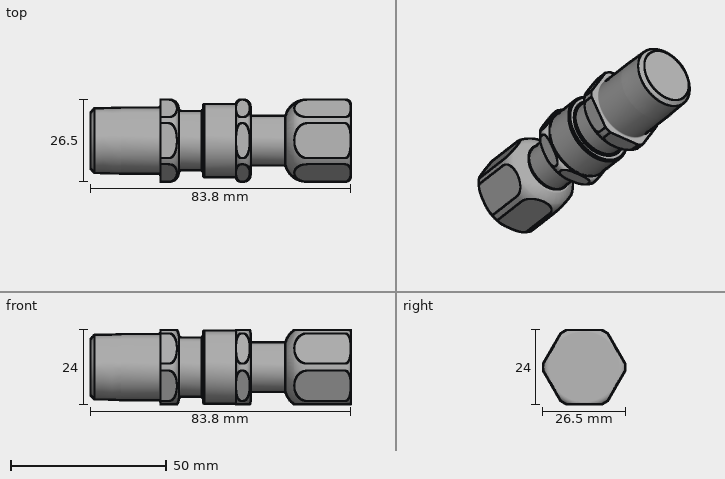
import cadquery as cq
import math

TOTAL_LENGTH = 83.84
HEX_ACROSS_FLATS = 24.0
HEX_CORNER_DIAMETER = 26.5

TIP_FACE_DIAMETER = 17.95
TIP_DIAMETER = 20.85
TIP_CHAMFER_LENGTH = 1.35
THREAD_DIAMETER = 21.34
THREAD_TAPER_END = 9.9
NIPPLE_HEX_START = 22.5
NIPPLE_HEX_END = 28.5
NIPPLE_HEX_ROUND = 3.2
THREAD_ROOT_FILLET = 0.45
NECK_DIAMETER = 19.15
NECK_FILLET = 0.8
NECK_END_DIAMETER = 20.0

SLEEVE_START = 36.2
SLEEVE_DIAMETER = 23.65
SLEEVE_CHAMFER_LENGTH = 0.5
SLEEVE_CHAMFER_DEPTH = 0.4
SLEEVE_HEX_START = 46.78
SLEEVE_HEX_END = 51.6
SLEEVE_HEX_FRONT_ROUND = 1.8
SLEEVE_HEX_REAR_ROUND = 2.5

TUBE_DIAMETER = 16.05

NUT_START = 62.55
NUT_COLLAR_DIAMETER = 16.3
NUT_COLLAR_LENGTH = 0.25
NUT_SHOULDER_DIAMETER = 18.3
NUT_SHOULDER_END = 63.1
NUT_FRONT_ROUND = 7.3
NUT_FRONT_ROUND_END = 69.6
NUT_REAR_ROUND = 1.9

hex_corner_radius = HEX_CORNER_DIAMETER / 2
thread_radius = THREAD_DIAMETER / 2
neck_radius = NECK_DIAMETER / 2
neck_end_radius = NECK_END_DIAMETER / 2
sleeve_radius = SLEEVE_DIAMETER / 2


def profile_from(x):
    """Start an (x, radius) half profile on the axis."""
    return cq.Workplane("XY").moveTo(x, 0)


def turn(profile, end):
    """Bring a half profile back to the axis at x = end and revolve it about X."""
    return profile.lineTo(end, 0).close().revolve(360, (0, 0, 0), (1, 0, 0))


def cut_hexagon(blank, start, end):
    """Trim a turned blank to a hexagon with flats facing +Z and -Z."""
    sharp_corner_diameter = HEX_ACROSS_FLATS / math.cos(math.radians(30))
    bar = cq.Workplane("YZ", origin=(start, 0, 0)).polygon(6, sharp_corner_diameter).extrude(end - start)
    return blank.intersect(bar)


def make_thread():
    fillet_start = NIPPLE_HEX_START - THREAD_ROOT_FILLET
    profile = (
        profile_from(0)
        .lineTo(0, TIP_FACE_DIAMETER / 2)
        .lineTo(TIP_CHAMFER_LENGTH, TIP_DIAMETER / 2)
        .lineTo(THREAD_TAPER_END, thread_radius)
        .lineTo(fillet_start, thread_radius)
        .radiusArc((NIPPLE_HEX_START, thread_radius + THREAD_ROOT_FILLET), -THREAD_ROOT_FILLET)
    )
    return turn(profile, NIPPLE_HEX_START)


def make_nipple_hexagon():
    profile = (
        profile_from(NIPPLE_HEX_START)
        .lineTo(NIPPLE_HEX_START, hex_corner_radius)
        .lineTo(NIPPLE_HEX_END - NIPPLE_HEX_ROUND, hex_corner_radius)
        .radiusArc((NIPPLE_HEX_END, hex_corner_radius - NIPPLE_HEX_ROUND), NIPPLE_HEX_ROUND)
    )
    blank = turn(profile, NIPPLE_HEX_END)
    return cut_hexagon(blank, NIPPLE_HEX_START, NIPPLE_HEX_END)


def make_neck():
    flare_start = SLEEVE_START - (neck_end_radius - neck_radius)
    profile = (
        profile_from(NIPPLE_HEX_END)
        .lineTo(NIPPLE_HEX_END, neck_radius + NECK_FILLET)
        .radiusArc((NIPPLE_HEX_END + NECK_FILLET, neck_radius), -NECK_FILLET)
        .lineTo(flare_start, neck_radius)
        .lineTo(SLEEVE_START, neck_end_radius)
    )
    return turn(profile, SLEEVE_START)


def make_nipple():
    return make_thread().union(make_nipple_hexagon()).union(make_neck())


def make_barrel():
    profile = (
        profile_from(SLEEVE_START)
        .lineTo(SLEEVE_START, sleeve_radius - SLEEVE_CHAMFER_DEPTH)
        .lineTo(SLEEVE_START + SLEEVE_CHAMFER_LENGTH, sleeve_radius)
        .lineTo(SLEEVE_HEX_START, sleeve_radius)
    )
    return turn(profile, SLEEVE_HEX_START)


def make_sleeve_hexagon():
    profile = (
        profile_from(SLEEVE_HEX_START)
        .lineTo(SLEEVE_HEX_START, hex_corner_radius - SLEEVE_HEX_FRONT_ROUND)
        .radiusArc((SLEEVE_HEX_START + SLEEVE_HEX_FRONT_ROUND, hex_corner_radius), SLEEVE_HEX_FRONT_ROUND)
        .lineTo(SLEEVE_HEX_END - SLEEVE_HEX_REAR_ROUND, hex_corner_radius)
        .radiusArc((SLEEVE_HEX_END, hex_corner_radius - SLEEVE_HEX_REAR_ROUND), SLEEVE_HEX_REAR_ROUND)
    )
    blank = turn(profile, SLEEVE_HEX_END)
    return cut_hexagon(blank, SLEEVE_HEX_START, SLEEVE_HEX_END)


def make_sleeve():
    return make_barrel().union(make_sleeve_hexagon())


def make_tube():
    section = cq.Workplane("YZ", origin=(SLEEVE_HEX_END, 0, 0)).circle(TUBE_DIAMETER / 2)
    return section.extrude(NUT_START - SLEEVE_HEX_END)


def make_cap_nut():
    collar_radius = NUT_COLLAR_DIAMETER / 2
    collar_end = NUT_START + NUT_COLLAR_LENGTH
    profile = (
        profile_from(NUT_START)
        .lineTo(NUT_START, collar_radius)
        .lineTo(collar_end, collar_radius)
        .lineTo(NUT_SHOULDER_END, NUT_SHOULDER_DIAMETER / 2)
        .radiusArc((NUT_FRONT_ROUND_END, hex_corner_radius), NUT_FRONT_ROUND)
        .lineTo(TOTAL_LENGTH - NUT_REAR_ROUND, hex_corner_radius)
        .radiusArc((TOTAL_LENGTH, hex_corner_radius - NUT_REAR_ROUND), NUT_REAR_ROUND)
    )
    blank = turn(profile, TOTAL_LENGTH)
    return cut_hexagon(blank, NUT_START, TOTAL_LENGTH)


nipple = make_nipple()
sleeve = make_sleeve()
tube = make_tube()
cap_nut = make_cap_nut()

result = cq.Compound.makeCompound([nipple.val(), sleeve.val(), tube.val(), cap_nut.val()])